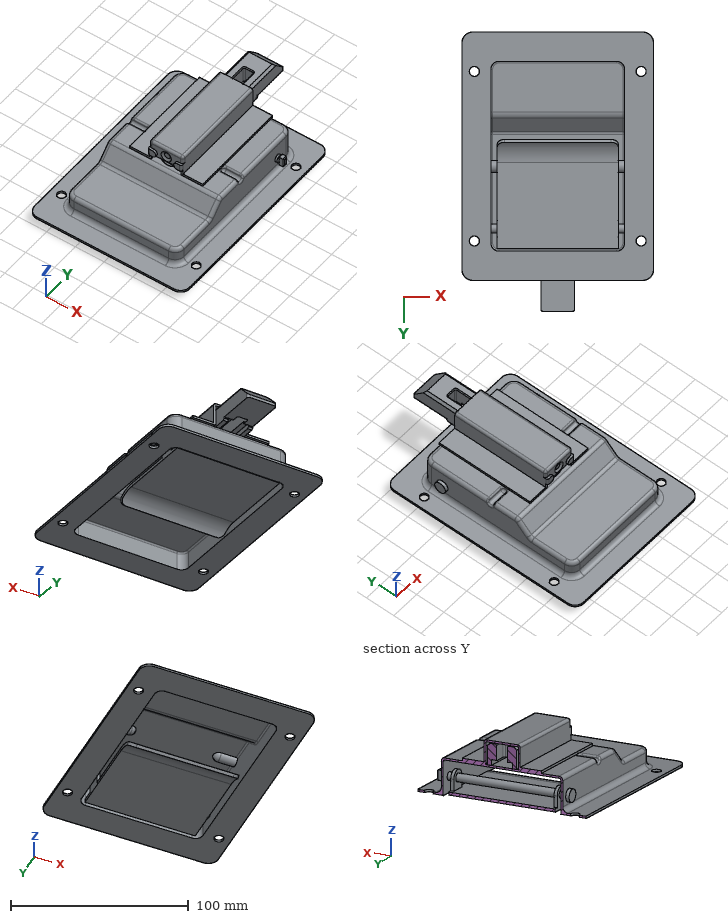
import cadquery as cq
import math

sheet = 1.5
flange_width = 107.9
flange_length = 139.8
flange_corner = 6.3
mount_hole_diameter = 5.5
mount_hole_pitch_x = 93.7
mount_hole_pitch_y = 95.3

pan_width = 78.2
pan_length = 109.8
pan_corner = 6.1
pan_top = 22.5
shallow_top = 12.9
pan_edge_radius = 2.44
pan_base_radius = 3.22
slope_start_y = -13.8
slope_angle = math.radians(45)
slope_top_bend = 4.0
slope_foot_bend = 3.3

groove_y = 5.8
groove_radius = 1.9
groove_depth = 3.1
groove_lip_radius = 1.1
groove_end_x = 27.4

hat_width = 23.5
hat_top = 37.1
hat_rear_y = 54.7
hat_front_y = -12.0
hat_edge_radius = 1.7
hat_foot_bend_radius = 0.8
hat_foot_width = 50.8
front_wall_bottom = 26.9
tab_reach = 5.5
tab_height = 4.9
tab_bend_radius = 1.3
dimple_z = 30.8
dimple_outer_diameter = 7.0
dimple_inner_diameter = 4.0
dimple_depth = 1.1
sleeve_z = 29.0
sleeve_radius = 6.1
sleeve_wall = 1.1
sleeve_bevel = 1.0
sleeve_length = 4.7

paddle_width = 68.3
paddle_thickness = 2.0
paddle_bottom = 0.8
paddle_rear_y = 51.9
paddle_curl_start_y = 3.6
paddle_curl_radius = 15.0
paddle_curl_angle = math.radians(50)
paddle_tip_corner = 4.1
pin_y = 40.7
pin_z = 9.8
pin_diameter = 5.0
pin_head_diameter = 7.9
pin_head_height = 2.2
pin_shoulder_length = 2.2
pin_shoulder_chamfer = 0.8
pin_tail_end_x = 44.5
pin_tail_height = 6.1
pin_tail_thickness = 3.1
pin_tail_chamfer = 0.6
ear_radius = 4.7

bolt_width = 19.0
bolt_top = 35.4
bolt_tip_bottom = 24.2
bolt_body_bottom = 25.6
bolt_reach = 17.5
bolt_tip_y = flange_length / 2 + bolt_reach
bolt_ramp = 9.3
bolt_chamfer = 1.5
bolt_end_radius = 1.4
bolt_step_y = 62.5
rail_width = 2.8
rail_setback = 6.3
rail_lead = 1.0
slot_width = 6.9
slot_rear_y = 67.0
slot_front_y = 39.3
slot_corner = 1.0
slot_lip = 0.6

select_margin = 0.2
cut_overrun = 1.5


def box(x0, x1, y0, y1, z0, z1):
    """Box between opposite corners."""
    return cq.Workplane("XY").box(x1 - x0, y1 - y0, z1 - z0, centered=False).translate((x0, y0, z0))


def edges_within(x_range, y_range, z_range):
    """Selector of the edges that lie wholly inside a box, give or take a small margin."""
    low, high = zip(*(sorted(limits) for limits in (x_range, y_range, z_range)))
    return cq.selectors.BoxSelector(
        tuple(value - select_margin for value in low),
        tuple(value + select_margin for value in high),
        boundingbox=True,
    )


def x_cylinder(diameter, x0, x1, y, z):
    """Cylinder along X."""
    return cq.Workplane("YZ", origin=(x0, y, z)).circle(diameter / 2).extrude(x1 - x0)


def pan_form(inset):
    """Solid form of the pan, moved inwards by `inset` on every side but the open bottom."""
    half_length = pan_length / 2 - inset
    width = pan_width - 2 * inset
    top = pan_top - inset
    foot = shallow_top - inset
    start_y = slope_start_y + inset * math.tan(slope_angle / 2)
    foot_y = start_y - (top - foot) / math.tan(slope_angle)
    form = (
        cq.Workplane("YZ")
        .polyline([
            (half_length, 0), (half_length, top), (start_y, top),
            (foot_y, foot), (-half_length, foot), (-half_length, 0),
        ])
        .close()
        .extrude(width / 2, both=True)
    )
    form = form.edges("|Z").fillet(pan_corner - inset)
    form = form.edges(cq.selectors.NearestToPointSelector((0, start_y, top))).fillet(slope_top_bend - inset)
    form = form.edges(cq.selectors.NearestToPointSelector((0, foot_y, foot))).fillet(slope_foot_bend + inset)
    return form.faces(">Z").edges("<X").fillet(pan_edge_radius - inset)


def make_flanged_pan():
    flange = box(-flange_width / 2, flange_width / 2, -flange_length / 2, flange_length / 2, 0, sheet)
    flange = flange.edges("|Z").fillet(flange_corner)
    flange = (
        flange.faces("<Z").workplane(origin=(0, 0, 0))
        .rect(mount_hole_pitch_x, mount_hole_pitch_y, forConstruction=True)
        .vertices().hole(mount_hole_diameter)
    )
    pan = flange.union(pan_form(0))
    base_edges = edges_within(
        (-pan_width / 2, pan_width / 2), (-pan_length / 2, pan_length / 2), (sheet, sheet))
    pan = pan.edges(base_edges).fillet(pan_base_radius)
    opening = groove_form(groove_radius, groove_depth, pan_width / 2 + cut_overrun)
    pan = pan.cut(opening).cut(opening.mirror("YZ"))
    for side in (-1, 1):
        pan = round_groove_lip(pan, side)
    backing = groove_form(groove_radius + sheet, groove_depth + sheet, pan_width / 2)
    return pan.cut(pan_form(sheet).cut(backing).cut(backing.mirror("YZ")))


def round_groove_lip(pan, side):
    """Round the rim where a groove breaks through the top and side of the pan."""
    wall_x = pan_width / 2
    y_range = (groove_y - groove_radius, groove_y + groove_radius)
    top_rim = edges_within(
        (side * (groove_end_x - groove_radius), side * wall_x), y_range, (pan_top, pan_top))
    side_rim = edges_within(
        (side * (wall_x - pan_edge_radius), side * wall_x), y_range, (pan_top - groove_depth, pan_top))
    return pan.edges(top_rim + side_rim).fillet(groove_lip_radius)


def groove_form(radius, depth, outer_x):
    """Round-bottomed bar for the groove on the +X side, with a round inner end."""
    axis_z = pan_top - depth + radius
    bar = x_cylinder(2 * radius, groove_end_x, outer_x, groove_y, axis_z)
    bar = bar.union(box(groove_end_x, outer_x, groove_y - radius, groove_y + radius, axis_z, pan_top))
    end = cq.Workplane("XY").sphere(radius).translate((groove_end_x, groove_y, axis_z))
    post = cq.Workplane("XY", origin=(groove_end_x, groove_y, axis_z)).circle(radius).extrude(pan_top - axis_z)
    return bar.union(end).union(post).clean()


def make_hat():
    half = hat_width / 2
    outer = box(-half, half, hat_front_y, hat_rear_y, pan_top, hat_top)
    outer = outer.edges("|Y and >Z").fillet(hat_edge_radius)
    tab_top = front_wall_bottom + tab_height
    front_top = outer.intersect(box(-half, half, hat_front_y, hat_rear_y, tab_top, hat_top))
    rounded_front = front_top.faces("<Y").edges(">Z or <X or >X").fillet(hat_edge_radius)
    outer = outer.cut(front_top).union(rounded_front)
    inside = half - sheet
    hat = outer.cut(box(-inside, inside, hat_front_y + sheet, hat_rear_y, pan_top, hat_top - sheet))
    hat = hat.cut(box(-inside, inside, hat_front_y, hat_front_y + sheet, pan_top, front_wall_bottom))
    for side in (-1, 1):
        foot = cq.Workplane("XY").box(hat_foot_width / 2 - inside, hat_rear_y - hat_front_y, sheet)
        foot = foot.translate((
            side * (hat_foot_width / 2 + inside) / 2, (hat_rear_y + hat_front_y) / 2, pan_top + sheet / 2,
        ))
        hat = hat.union(foot)
        inner_bend = edges_within(
            (side * inside, side * inside), (hat_front_y, hat_rear_y), (pan_top, pan_top))
        hat = hat.edges(inner_bend).fillet(hat_foot_bend_radius).union(make_tab(side))
    return hat.cut(make_dimple()).union(make_sleeve())


def make_tab(side):
    """Tab folded from a side wall of the hat over its front wall, with a round end."""
    half = hat_width / 2
    radius = tab_height / 2
    end_x = half - tab_reach
    tab = (
        cq.Workplane("XZ", origin=(0, hat_front_y, front_wall_bottom))
        .moveTo(half, 0)
        .lineTo(end_x + radius, 0)
        .threePointArc((end_x, radius), (end_x + radius, tab_height))
        .lineTo(half, tab_height)
        .close()
        .extrude(sheet)
    )
    tab = tab.edges("|Z and >X and <Y").fillet(tab_bend_radius)
    return tab if side > 0 else tab.mirror("YZ")


def make_dimple():
    """Blind conical recess in the front wall of the hat."""
    return (
        cq.Workplane("XZ", origin=(0, hat_front_y, dimple_z))
        .circle(dimple_outer_diameter / 2)
        .workplane(offset=-dimple_depth)
        .circle(dimple_inner_diameter / 2)
        .loft()
    )


def make_sleeve():
    """Spring sleeve behind the front wall, bevelled inside at its front end."""
    sleeve = (
        cq.Workplane("XZ", origin=(0, hat_front_y + sheet, sleeve_z))
        .circle(sleeve_radius)
        .circle(sleeve_radius - sleeve_wall)
        .extrude(-sleeve_length)
    )
    inner_rim = cq.selectors.RadiusNthSelector(0)
    return sleeve.faces("<Y").edges(inner_rim).chamfer(sleeve_bevel)


def make_paddle():
    """Plate inside the pan, curled down at its -Y tip, with an ear on each side for the pin."""
    half = paddle_width / 2
    centre_z = paddle_bottom - paddle_curl_radius
    top = paddle_bottom + paddle_thickness

    def curl_point(radius, angle):
        return (paddle_curl_start_y - radius * math.sin(angle), centre_z + radius * math.cos(angle))

    outer_radius = paddle_curl_radius + paddle_thickness
    paddle = (
        cq.Workplane("YZ")
        .moveTo(paddle_rear_y, paddle_bottom)
        .lineTo(paddle_curl_start_y, paddle_bottom)
        .threePointArc(
            curl_point(paddle_curl_radius, paddle_curl_angle / 2),
            curl_point(paddle_curl_radius, paddle_curl_angle),
        )
        .lineTo(*curl_point(outer_radius, paddle_curl_angle))
        .threePointArc(curl_point(outer_radius, paddle_curl_angle / 2), (paddle_curl_start_y, top))
        .lineTo(paddle_rear_y, top)
        .close()
        .extrude(half, both=True)
    )
    tip_y, tip_z = curl_point(paddle_curl_radius + paddle_thickness / 2, paddle_curl_angle)
    for side in (-1, 1):
        tip_corner = cq.selectors.NearestToPointSelector((side * half, tip_y, tip_z))
        paddle = paddle.edges(tip_corner).fillet(paddle_tip_corner)
    for x0 in (-half, half - paddle_thickness):
        ear = x_cylinder(2 * ear_radius, x0, x0 + paddle_thickness, pin_y, pin_z)
        stem = box(x0, x0 + paddle_thickness, pin_y - ear_radius, pin_y + ear_radius, top, pin_z)
        paddle = paddle.union(ear).union(stem)
    return paddle


def make_pin():
    """Pivot pin along X: flat head at -X, bevelled shoulder and flattened tail at +X."""
    wall_x = pan_width / 2
    shoulder_x = wall_x + pin_shoulder_length
    pin = x_cylinder(pin_diameter, -wall_x, shoulder_x, pin_y, pin_z).faces(">X").chamfer(pin_shoulder_chamfer)
    head = x_cylinder(pin_head_diameter, -wall_x - pin_head_height, -wall_x, pin_y, pin_z)
    half_thickness = pin_tail_thickness / 2
    half_height = pin_tail_height / 2
    tail = box(
        shoulder_x, pin_tail_end_x, pin_y - half_thickness, pin_y + half_thickness,
        pin_z - half_height, pin_z + half_height,
    )
    return pin.union(head).union(tail.faces(">X").chamfer(pin_tail_chamfer))


def make_bolt():
    half = bolt_width / 2
    front_y = hat_front_y + sheet + sleeve_length
    bolt = (
        cq.Workplane("YZ")
        .polyline([
            (front_y, bolt_body_bottom), (front_y, bolt_top), (bolt_tip_y - bolt_ramp, bolt_top),
            (bolt_tip_y, bolt_top - bolt_ramp), (bolt_tip_y, bolt_tip_bottom),
            (bolt_step_y, bolt_tip_bottom), (bolt_step_y, bolt_body_bottom),
        ])
        .close()
        .extrude(half, both=True)
    )
    top_sides = edges_within((-half, half), (front_y, bolt_tip_y), (bolt_top, bolt_top))
    bolt = bolt.edges("|Y").edges(top_sides).chamfer(bolt_chamfer)
    bolt = bolt.edges("|Z and (>Y or <Y)").fillet(bolt_end_radius)
    for side in (-1, 1):
        x0, x1 = sorted((side * half, side * (half - rail_width)))
        rail = box(x0, x1, front_y + rail_setback, bolt_step_y, pan_top, bolt_body_bottom)
        rail = rail.edges("|X and >Y and <Z").chamfer(rail_lead)
        bolt = bolt.union(rail)
    slot = box(-slot_width / 2, slot_width / 2, slot_front_y, slot_rear_y, pan_top, bolt_top)
    bolt = bolt.cut(slot.edges("|Z").fillet(slot_corner))
    rim = edges_within(
        (-slot_width / 2, slot_width / 2), (slot_front_y, slot_rear_y), (bolt_top, bolt_top))
    return bolt.edges(rim).chamfer(slot_lip)


housing = make_flanged_pan().union(make_hat()).union(make_paddle()).union(make_pin())
bolt = make_bolt()

result = cq.Compound.makeCompound([housing.val(), bolt.val()])